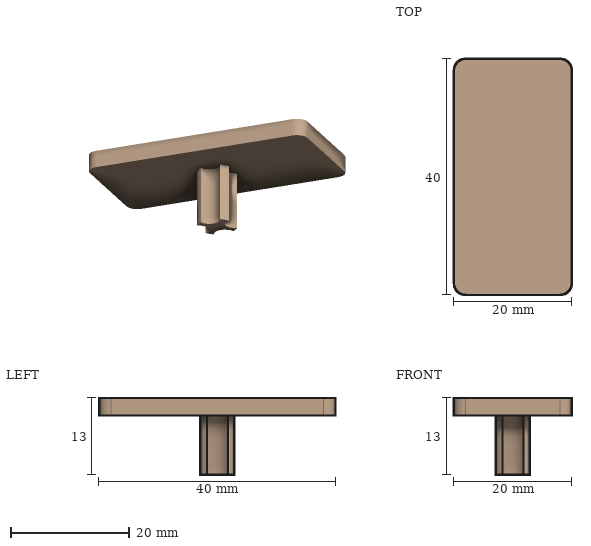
import cadquery as cq

plate_width = 20.0
plate_length = 40.0
plate_thickness = 3.0
corner_radius = 2.0

stem_length = 10.0
stem_radius = 3.4
flute_radius = 1.85
flute_count = 4


def make_plate():
    """Rounded rectangular plate with its underside at Z = 0."""
    plate = cq.Workplane("XY").rect(plate_width, plate_length).extrude(plate_thickness)
    return plate.edges("|Z").fillet(corner_radius)


def make_stem():
    """Round stem with flutes centred on its rim, leaving a cross-shaped section."""
    stem = cq.Workplane("XY").circle(stem_radius).extrude(-stem_length)
    flutes = (
        cq.Workplane("XY")
        .polarArray(stem_radius, 0, 360, flute_count)
        .circle(flute_radius)
        .extrude(-stem_length)
    )
    return stem.cut(flutes)


result = make_plate().union(make_stem())